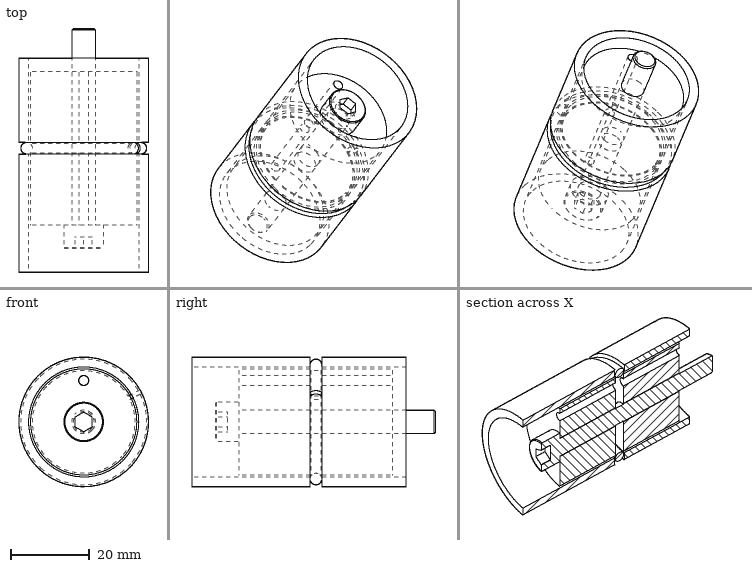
import cadquery as cq

total_length = 61.9
tube_diameter = 33.0
bore_diameter = 28.0
front_tube_length = 30.0
tube_gap = 3.0
stub_length = 7.5
back_tube_start = front_tube_length + tube_gap
back_tube_end = total_length - stub_length

ring_outer_diameter = 32.0
ring_section_radius = tube_gap / 2
ring_mean_radius = ring_outer_diameter / 2 - ring_section_radius
ring_position = front_tube_length + tube_gap / 2
split_width = 1.0
split_angle = 28.0

shank_diameter = 6.0
head_diameter = 10.0
head_height = 6.0
head_recess = 6.0
socket_corner_diameter = 5.0
socket_depth = 3.0
screw_chamfer = 0.4
head_chamfer = 0.25

disc_diameter = 27.0
disc_spacing = 2.5
front_disc_start = head_recess + head_height
disc_thickness = ring_position - disc_spacing / 2 - front_disc_start
back_disc_start = ring_position + disc_spacing / 2
vent_diameter = 2.5
vent_offset = 10.5


def cylinder(diameter, start, length):
    """Cylinder on the Y axis, running from start towards +Y."""
    plane = cq.Workplane("XZ", origin=(0, start, 0))
    return plane.circle(diameter / 2).extrude(-length)


def make_tube(start, end):
    length = end - start
    return cylinder(tube_diameter, start, length).cut(cylinder(bore_diameter, start, length))


def make_split_ring():
    ring = (
        cq.Workplane("XY")
        .center(ring_mean_radius, ring_position)
        .circle(ring_section_radius)
        .revolve(360, (-ring_mean_radius, 0, 0), (-ring_mean_radius, 1, 0))
    )
    split = (
        cq.Workplane("XY")
        .box(ring_outer_diameter, tube_gap, split_width, centered=(False, True, True))
        .translate((0, ring_position, 0))
        .rotate((0, 0, 0), (0, 1, 0), -split_angle)
    )
    return ring.cut(split)


def make_disc(start):
    """Disc with a central screw hole and a small vent hole above it."""
    vent = cylinder(vent_diameter, start, disc_thickness).translate((0, 0, vent_offset))
    screw_hole = cylinder(shank_diameter, start, disc_thickness)
    return cylinder(disc_diameter, start, disc_thickness).cut(screw_hole).cut(vent)


def make_screw():
    head = cylinder(head_diameter, head_recess, head_height).faces("<Y").chamfer(head_chamfer)
    shank = cylinder(shank_diameter, front_disc_start, total_length - front_disc_start)
    shank = shank.faces(">Y").chamfer(screw_chamfer)
    socket = (
        cq.Workplane("XZ", origin=(0, head_recess, 0))
        .transformed(rotate=(0, 0, 90))
        .polygon(6, socket_corner_diameter)
        .extrude(-socket_depth)
    )
    return head.union(shank).cut(socket)


front_tube = make_tube(0, front_tube_length)
back_tube = make_tube(back_tube_start, back_tube_end)
split_ring = make_split_ring()
discs = [make_disc(start) for start in (front_disc_start, back_disc_start)]
screw = make_screw()

result = cq.Compound.makeCompound([
    front_tube.val(),
    back_tube.val(),
    split_ring.val(),
    *[disc.val() for disc in discs],
    screw.val(),
])